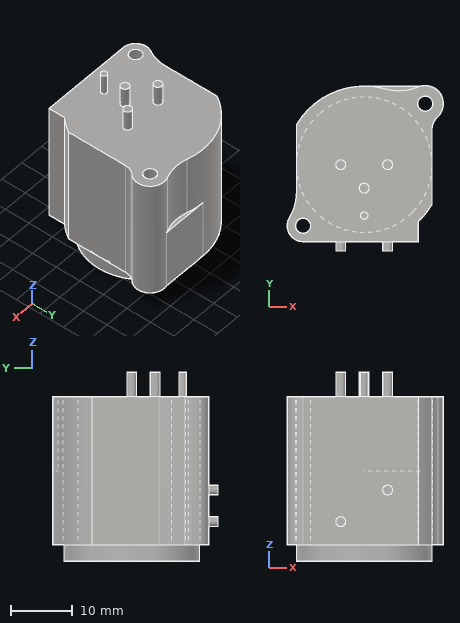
import cadquery as cq
import math

barrel_radius = 12.75
side_wall_x = 11.0
front_wall_y = -12.5
notch_wall_x = 8.8
body_height = 24.0

ear_offset = 9.9
back_ear_radius = 2.95
front_ear_radius = -front_wall_y - ear_offset
ear_hole_diameter = 2.4
front_ear_blend = 8.0
back_ear_side_blend = 3.0
back_ear_barrel_blend = 8.0

web_height = body_height / 2

spigot_diameter = 22.0
spigot_height = 2.7

contact_length = 4.0
contact_diameter = 1.6
earth_pin_diameter = 1.2
pin_pitch = 3.8
earth_pin_y = -8.25

peg_diameter = 1.6
peg_length = 1.5
left_peg_z = 3.75
right_peg_z = 8.88

back_ear = (ear_offset, ear_offset)
front_ear = (-ear_offset, -ear_offset)


def toward(start, target, distance):
    """Point at a given distance from start on the line to target."""
    span = math.dist(start, target)
    return tuple(a + (b - a) * distance / span for a, b in zip(start, target))


def wall_blend_center(ear, ear_radius, blend_radius, side):
    """Centre of the arc that blends a side wall into an ear (side is the sign of X)."""
    x = side * (side_wall_x + blend_radius)
    rise = math.sqrt((ear_radius + blend_radius) ** 2 - (x - ear[0]) ** 2)
    return (x, ear[1] - side * rise)


def barrel_blend_center():
    """Centre of the arc outside both the barrel and the back ear and tangent to each."""
    from_axis = barrel_radius + back_ear_barrel_blend
    from_ear = back_ear_radius + back_ear_barrel_blend
    ear_distance = math.hypot(*back_ear)
    cosine = (from_axis**2 + ear_distance**2 - from_ear**2) / (2 * from_axis * ear_distance)
    angle = math.atan2(back_ear[1], back_ear[0]) + math.acos(cosine)
    return (from_axis * math.cos(angle), from_axis * math.sin(angle))


def midpoint(a, b):
    return tuple((p + q) / 2 for p, q in zip(a, b))


def add_arc(path, center, radius, start, end):
    """Extend the path from start to end along the shorter arc about the center."""
    return path.threePointArc(toward(center, midpoint(start, end), radius), end)


def add_ear_arc(path, ear, radius, end):
    """Extend the path around the outside of an ear, through its point farthest from the axis."""
    outer_point = toward(ear, (2 * ear[0], 2 * ear[1]), radius)
    return path.threePointArc(outer_point, end)


def make_housing():
    axis = (0.0, 0.0)
    wall_end_y = math.sqrt(barrel_radius**2 - side_wall_x**2)
    notch_y = -math.sqrt(barrel_radius**2 - notch_wall_x**2)

    right_blend = wall_blend_center(back_ear, back_ear_radius, back_ear_side_blend, 1)
    left_blend = wall_blend_center(front_ear, front_ear_radius, front_ear_blend, -1)
    top_blend = barrel_blend_center()

    right_tangent = toward(back_ear, right_blend, back_ear_radius)
    top_tangent = toward(back_ear, top_blend, back_ear_radius)
    barrel_tangent = toward(axis, top_blend, barrel_radius)
    left_tangent = toward(front_ear, left_blend, front_ear_radius)

    right_wall_top = (side_wall_x, right_blend[1])
    left_wall_bottom = (-side_wall_x, left_blend[1])
    left_wall_top = (-side_wall_x, wall_end_y)
    right_wall_bottom = (side_wall_x, -wall_end_y)
    notch_corner = (notch_wall_x, notch_y)
    ear_base = (front_ear[0], front_wall_y)

    path = cq.Workplane("XY").moveTo(*ear_base)
    path = path.lineTo(notch_wall_x, front_wall_y).lineTo(*notch_corner)
    path = add_arc(path, axis, barrel_radius, notch_corner, right_wall_bottom)
    path = path.lineTo(*right_wall_top)
    path = add_arc(path, right_blend, back_ear_side_blend, right_wall_top, right_tangent)
    path = add_ear_arc(path, back_ear, back_ear_radius, top_tangent)
    path = add_arc(path, top_blend, back_ear_barrel_blend, top_tangent, barrel_tangent)
    path = add_arc(path, axis, barrel_radius, barrel_tangent, left_wall_top)
    path = path.lineTo(*left_wall_bottom)
    path = add_arc(path, left_blend, front_ear_blend, left_wall_bottom, left_tangent)
    path = add_ear_arc(path, front_ear, front_ear_radius, ear_base)
    return path.close().extrude(body_height)


def make_web():
    """Straight-backed fill from the barrel axis to the back ear."""
    return cq.Workplane("XY").box(ear_offset, barrel_radius, web_height, centered=False)


def make_spigot():
    return cq.Workplane("XY").circle(spigot_diameter / 2).extrude(-spigot_height)


def make_contacts():
    top = cq.Workplane("XY").workplane(offset=body_height)
    main_positions = [(-pin_pitch, 0), (pin_pitch, 0), (0, -pin_pitch)]
    contacts = top.pushPoints(main_positions).circle(contact_diameter / 2).extrude(contact_length)
    earth_pin = top.center(0, earth_pin_y).circle(earth_pin_diameter / 2).extrude(contact_length)
    return contacts.add(earth_pin).combine()


def make_pegs():
    positions = [(-pin_pitch, left_peg_z), (pin_pitch, right_peg_z)]
    front = cq.Workplane("XZ", origin=(0, front_wall_y, 0))
    return front.pushPoints(positions).circle(peg_diameter / 2).extrude(peg_length)


def make_ear_holes():
    centers = cq.Workplane("XY").pushPoints([back_ear, front_ear])
    return centers.circle(ear_hole_diameter / 2).extrude(body_height)


result = make_housing().union(make_web()).union(make_spigot())
result = result.cut(make_ear_holes())
result = result.union(make_contacts()).union(make_pegs())